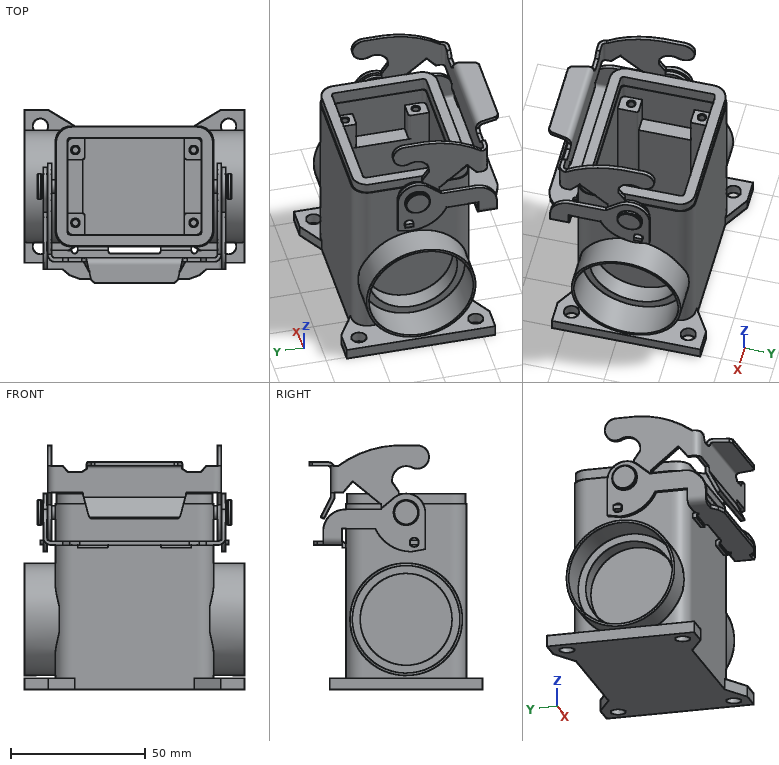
import cadquery as cq
import math

TOTAL_LENGTH = 82.0
TOTAL_HEIGHT = 91.0

BODY_HALF_X = 29.5
BODY_HALF_Y = 22.5
BODY_CORNER_R = 6.0
BODY_HEIGHT = 73.0
RIM_BOTTOM_Z = 69.2
RIM_STEP = 0.4

PLATE_HALF_X = TOTAL_LENGTH / 2
PLATE_HALF_Y = 28.5
PLATE_THICK = 4.3
EAR_OUTER_X = 32.1
EAR_INNER_X = 22.2
PLATE_HOLE_X = 35.0
PLATE_HOLE_Y = 22.4
PLATE_HOLE_R = 2.8

TUBE_Z = 26.2
TUBE_R = 20.9
TUBE_BORE_R = 20.0
ENTRY_R = 17.1
TUBE_INNER_X = 27.9
ENTRY_INNER_X = 20.9

CAVITY_HALF_X = 25.0
CAVITY_HALF_Y = 18.1
CAVITY_CORNER_R = 1.3
MOUTH_BOTTOM_Z = 67.9
MOUTH_STEP = 0.2
LOWER_CORNER_R = 1.6
FLOOR_Z = PLATE_THICK
LEFT_LEDGE_X = -19.3
LEDGE_TOP_Z = 50.3
POST_INNER_X = 18.6
POST_INNER_Y = 10.0
POST_TOP_Z = 61.7
POST_EDGE_R = 0.8
SCREW_X = 22.0
SCREW_Y = 13.6
SCREW_R = 1.3
SCREW_CHAMFER = 0.4
SCREW_DEPTH = 7.3

PIVOT_Z = 66.0
PIN_R = 2.55
PIN_NECK_R = 3.6
PIN_HEAD_R = 4.7
PIN_HEAD_INNER_X = 34.5
PIN_HEAD_OUTER_X = 36.2
PIN_HEAD_CHAMFER = 0.4

SHEET = 1.5
BAIL_OUTER_X = 32.3
LEVER_GAP = 0.2
BRACKET_INNER_X = BAIL_OUTER_X + LEVER_GAP
BRACKET_OUTER_X = BRACKET_INNER_X + SHEET
BEND_R = 2.8
DIAGONAL = math.sin(math.radians(45))

HOOK_R = 4.4
HOOK_Y = 4.2
HOOK_Z = TOTAL_HEIGHT - HOOK_R
NOTCH_R = 5.2
NOTCH_LIP = 0.7
BACK_FLAT_Y = -4.0
BACK_MID = (-14.7, 88.9)
LEG_FRONT_Y = -9.2
LEG_FRONT_TOP_Z = 68.9
LEG_FRONT_BOTTOM_Z = 64.6
LEG_REAR_Y = -2.7
LEG_REAR_Z = 73.8
CROOK = (-19.9, 77.5)
BAR_HEEL_Y = -23.5
LOBE_R = 6.3
LOBE_MID = (-5.0, 56.4)
LOBE_BOTTOM_Z = 54.0
LOBE_REAR_Z = 54.4
BAIL_FRONT_Y = -28.1
BAIL_BEND_Y = BAIL_FRONT_Y + BEND_R
BAR_BOTTOM_Z = 73.35
BAR_TOP_Z = 83.4
DIP_Z = 81.1
DIP_OUTER_X = 26.75
DIP_FLAT_OUTER_X = 24.7
DIP_FLAT_INNER_X = 19.7
DIP_RISE = 1.1

GRIP_TOP_Z = 84.8
GRIP_BEND_R = 2.55
GRIP_FRONT_Y = -36.0
GRIP_ROOT_HALF_X = 18.0
GRIP_TIP_HALF_X = 15.8
GRIP_CORNER = 1.1

FLAP_BEND_Z = 71.25
FLAP_BOTTOM_Z = 63.6
FLAP_ANGLE = 27.0
FLAP_ROOT_HALF_X = 19.4
FLAP_TIP_HALF_X = 16.7
FLAP_CORNER_R = 1.8

BOSS_R = 7.1
BOSS_SLOPE = 40.0
SLOPE_END_Y = -9.65
BRACKET_LOBE_START_Y = -11.5
BRACKET_LOBE_MID = (-6.6, 54.1)
BRACKET_LOBE_BOTTOM = (2.1, 51.4)
BRACKET_REAR_Z = 52.3
ARM_TOP_Z = 67.2
ARM_BOTTOM_Z = 60.0
ARM_REAR_Y = -23.8
ARM_FRONT_Y = -30.9
ARM_BEND_R = 8.2
ARM_BEND_Z = ARM_TOP_Z - ARM_BEND_R
SHELF_BOTTOM_Z = 53.9
SHELF_TOP_Z = SHELF_BOTTOM_Z + SHEET
SHELF_FRONT_Y = -34.5
LIP_ROOT_X = 26.75
LIP_CORNER = (24.1, -33.1)
LIP_FRONT_X = 20.5
SHELF_CUT_Y = -24.9
SHELF_CUT_R = 0.9
RELIEF_R = 1.1
FOOT_INNER_X = 9.7
FOOT_OUTER_X = 21.2
FOOT_BOTTOM_Z = 52.8
FOOT_SLOPE = 0.9
FOOT_CORNER_R = 0.9

LUG_Y = 3.0
LUG_Z = 54.9
LUG_WIDTH = 3.1
LUG_HEIGHT = 1.6
LUG_OUTER_X = 35.0
LUG_HOLE_R = 1.7


def box(x_range, y_range, z_range):
    """Axis-aligned box given by its limits."""
    (x0, x1), (y0, y1), (z0, z1) = x_range, y_range, z_range
    return cq.Workplane("XY").box(x1 - x0, y1 - y0, z1 - z0, centered=False).translate((x0, y0, z0))


def rounded_block(half_x, half_y, radius, z0, z1):
    """Upright block with rounded vertical edges, centred on Z."""
    block = box((-half_x, half_x), (-half_y, half_y), (z0, z1))
    return block.edges("|Z").fillet(radius)


def rod_x(radius, x0, x1, y, z):
    """Cylinder along X."""
    return cq.Workplane("YZ", origin=(x0, 0, 0)).center(y, z).circle(radius).extrude(x1 - x0)


def both_sides(shape):
    """The +X shape joined with its mirror image at -X."""
    return shape.union(shape.mirror("YZ"))


def mounting_plate():
    quarter = [
        (0, 0), (PLATE_HALF_X, 0), (PLATE_HALF_X, PLATE_HALF_Y), (EAR_OUTER_X, PLATE_HALF_Y),
        (EAR_INNER_X, BODY_HALF_Y), (0, BODY_HALF_Y),
    ]
    half = cq.Workplane("XY").polyline(quarter).close().extrude(PLATE_THICK)
    half = half.union(half.mirror("XZ"))
    plate = both_sides(half)
    holes = (
        cq.Workplane("XY")
        .rect(2 * PLATE_HOLE_X, 2 * PLATE_HOLE_Y, forConstruction=True)
        .vertices()
        .circle(PLATE_HOLE_R)
        .extrude(PLATE_THICK)
    )
    return plate.cut(holes)


def cavity():
    """Hollow of the body: ledges along both X ends and a screw post in each corner stay solid."""
    mouth = rounded_block(CAVITY_HALF_X, CAVITY_HALF_Y, CAVITY_CORNER_R, MOUTH_BOTTOM_Z, BODY_HEIGHT)
    lower = rounded_block(
        CAVITY_HALF_X - MOUTH_STEP, CAVITY_HALF_Y - MOUTH_STEP, LOWER_CORNER_R, FLOOR_Z, MOUTH_BOTTOM_Z
    )
    ledge_y = (-BODY_HALF_Y, BODY_HALF_Y)
    left_ledge = box((-BODY_HALF_X, LEFT_LEDGE_X), ledge_y, (0, LEDGE_TOP_Z))
    right_ledge = box((POST_INNER_X, BODY_HALF_X), ledge_y, (0, LEDGE_TOP_Z))
    post = box((POST_INNER_X, BODY_HALF_X), (POST_INNER_Y, BODY_HALF_Y), (0, POST_TOP_Z))
    post = post.edges("|Z and <X and <Y").fillet(POST_EDGE_R)
    posts = both_sides(post.union(post.mirror("XZ")))
    return mouth.union(lower).cut(left_ledge).cut(right_ledge).cut(posts)


def screw_holes():
    hole_plane = cq.Workplane("XY", origin=(0, 0, POST_TOP_Z))
    corners = hole_plane.rect(2 * SCREW_X, 2 * SCREW_Y, forConstruction=True).vertices()
    holes = corners.circle(SCREW_R).extrude(-SCREW_DEPTH)
    sink = cq.Solid.makeCone(
        SCREW_R + SCREW_CHAMFER, SCREW_R, SCREW_CHAMFER, cq.Vector(0, 0, POST_TOP_Z), cq.Vector(0, 0, -1)
    )
    for x in (-SCREW_X, SCREW_X):
        for y in (-SCREW_Y, SCREW_Y):
            holes = holes.union(cq.Workplane(sink.translate(cq.Vector(x, y, 0))))
    return holes


def housing():
    body = rounded_block(BODY_HALF_X, BODY_HALF_Y, BODY_CORNER_R, 0, RIM_BOTTOM_Z)
    rim = rounded_block(
        BODY_HALF_X - RIM_STEP, BODY_HALF_Y - RIM_STEP, BODY_CORNER_R - RIM_STEP, RIM_BOTTOM_Z, BODY_HEIGHT
    )
    tube = rod_x(TUBE_R, TUBE_INNER_X, PLATE_HALF_X, 0, TUBE_Z)
    bore = rod_x(TUBE_BORE_R, TUBE_INNER_X, PLATE_HALF_X, 0, TUBE_Z)
    entry = rod_x(ENTRY_R, ENTRY_INNER_X, PLATE_HALF_X, 0, TUBE_Z)
    shell = body.union(rim).union(mounting_plate()).union(both_sides(tube))
    return shell.cut(cavity()).cut(both_sides(bore.union(entry))).cut(screw_holes())


def pivot_pin():
    shaft = rod_x(PIN_R, CAVITY_HALF_X, BRACKET_OUTER_X, 0, PIVOT_Z)
    neck = rod_x(PIN_NECK_R, BRACKET_OUTER_X, PIN_HEAD_INNER_X, 0, PIVOT_Z)
    head = rod_x(PIN_HEAD_R, PIN_HEAD_INNER_X, PIN_HEAD_OUTER_X, 0, PIVOT_Z)
    head = head.edges("%CIRCLE").chamfer(PIN_HEAD_CHAMFER)
    return shaft.union(neck).union(head)


def bail_side():
    """Flat side of the bail: hook, curved back, bar corner, leg and hidden pivot lobe."""
    reach = HOOK_R + NOTCH_R
    notch_z = HOOK_Z - math.sqrt(reach**2 - HOOK_Y**2)
    tangent = (HOOK_Y * NOTCH_R / reach, notch_z + (HOOK_Z - notch_z) * NOTCH_R / reach)
    notch_mid = (-NOTCH_R * DIAGONAL, notch_z + NOTCH_R * DIAGONAL)
    lobe_mid = (LOBE_R * DIAGONAL, PIVOT_Z + LOBE_R * DIAGONAL)
    lobe_end_z = PIVOT_Z + math.sqrt(LOBE_R**2 - LEG_REAR_Y**2)
    return (
        cq.Workplane("YZ", origin=(BAIL_OUTER_X - SHEET, 0, 0))
        .moveTo(HOOK_Y, HOOK_Z + HOOK_R)
        .lineTo(BACK_FLAT_Y, HOOK_Z + HOOK_R)
        .threePointArc(BACK_MID, (BAIL_BEND_Y, BAR_TOP_Z))
        .lineTo(BAIL_BEND_Y, BAR_BOTTOM_Z)
        .lineTo(BAR_HEEL_Y, BAR_BOTTOM_Z)
        .lineTo(*CROOK)
        .lineTo(LEG_FRONT_Y, LEG_FRONT_TOP_Z)
        .lineTo(LEG_FRONT_Y, LEG_FRONT_BOTTOM_Z)
        .threePointArc(LOBE_MID, (LUG_Y, LOBE_BOTTOM_Z))
        .lineTo(LOBE_R, LOBE_REAR_Z)
        .lineTo(LOBE_R, PIVOT_Z)
        .threePointArc(lobe_mid, (LEG_REAR_Y, lobe_end_z))
        .lineTo(LEG_REAR_Y, LEG_REAR_Z)
        .lineTo(-NOTCH_R, notch_z - NOTCH_LIP)
        .lineTo(-NOTCH_R, notch_z)
        .threePointArc(notch_mid, tangent)
        .threePointArc((HOOK_Y + HOOK_R, HOOK_Z), (HOOK_Y, HOOK_Z + HOOK_R))
        .close()
        .extrude(SHEET)
    )


def bail_bar():
    """Front bar of the bail with bent corners and a dip in its top edge on both sides."""
    outer = box((-BAIL_OUTER_X, BAIL_OUTER_X), (BAIL_FRONT_Y, 0), (BAR_BOTTOM_Z, BAR_TOP_Z))
    outer = outer.edges("|Z and <Y").fillet(BEND_R)
    inner_x = BAIL_OUTER_X - SHEET
    inner = box((-inner_x, inner_x), (BAIL_FRONT_Y + SHEET, 0), (BAR_BOTTOM_Z, BAR_TOP_Z))
    inner = inner.edges("|Z and <Y").fillet(BEND_R - SHEET)
    front_half = box(
        (-BAIL_OUTER_X, BAIL_OUTER_X), (BAIL_FRONT_Y, BAIL_BEND_Y), (BAR_BOTTOM_Z, BAR_TOP_Z)
    )
    dip = (
        cq.Workplane("XZ")
        .polyline([
            (DIP_OUTER_X, BAR_TOP_Z), (DIP_FLAT_OUTER_X, DIP_Z), (DIP_FLAT_INNER_X, DIP_Z),
            (GRIP_ROOT_HALF_X, DIP_Z + DIP_RISE), (GRIP_ROOT_HALF_X, BAR_TOP_Z),
        ])
        .close()
        .extrude(-BAIL_FRONT_Y)
    )
    above_grip_bend = box(
        (-GRIP_ROOT_HALF_X, GRIP_ROOT_HALF_X), (BAIL_FRONT_Y, 0), (GRIP_TOP_Z - GRIP_BEND_R, BAR_TOP_Z)
    )
    return outer.cut(inner).intersect(front_half).cut(both_sides(dip)).cut(above_grip_bend)


def grip_tab():
    rear_y = BAIL_FRONT_Y + SHEET
    bend_y = rear_y - GRIP_BEND_R
    bend_z = GRIP_TOP_Z - GRIP_BEND_R
    inner_r = GRIP_BEND_R - SHEET
    bend_mid = (bend_y + GRIP_BEND_R * DIAGONAL, bend_z + GRIP_BEND_R * DIAGONAL)
    inner_mid = (bend_y + inner_r * DIAGONAL, bend_z + inner_r * DIAGONAL)
    folded = (
        cq.Workplane("YZ", origin=(-GRIP_ROOT_HALF_X, 0, 0))
        .moveTo(rear_y, bend_z)
        .threePointArc(bend_mid, (bend_y, GRIP_TOP_Z))
        .lineTo(GRIP_FRONT_Y, GRIP_TOP_Z)
        .lineTo(GRIP_FRONT_Y, GRIP_TOP_Z - SHEET)
        .lineTo(bend_y, GRIP_TOP_Z - SHEET)
        .threePointArc(inner_mid, (BAIL_FRONT_Y, bend_z))
        .close()
        .extrude(2 * GRIP_ROOT_HALF_X)
    )
    outline = (
        cq.Workplane("XY", origin=(0, 0, bend_z))
        .polyline([
            (-GRIP_ROOT_HALF_X, rear_y), (GRIP_ROOT_HALF_X, rear_y),
            (GRIP_TIP_HALF_X, GRIP_FRONT_Y), (-GRIP_TIP_HALF_X, GRIP_FRONT_Y),
        ])
        .close()
        .extrude(GRIP_BEND_R)
        .edges("|Z and <Y")
        .chamfer(GRIP_CORNER)
    )
    return folded.intersect(outline)


def flap():
    angle = math.radians(FLAP_ANGLE)
    rear_y = BAIL_FRONT_Y + SHEET
    rear_tip = (rear_y - (FLAP_BEND_Z - FLAP_BOTTOM_Z) * math.tan(angle), FLAP_BOTTOM_Z)
    front_tip = (rear_tip[0] - SHEET * math.cos(angle), rear_tip[1] + SHEET * math.sin(angle))
    front_bend_z = FLAP_BEND_Z + SHEET * math.tan(angle / 2)
    folded = (
        cq.Workplane("YZ", origin=(-FLAP_ROOT_HALF_X, 0, 0))
        .polyline([
            (rear_y, BAR_BOTTOM_Z), (rear_y, FLAP_BEND_Z), rear_tip, front_tip,
            (BAIL_FRONT_Y, front_bend_z), (BAIL_FRONT_Y, BAR_BOTTOM_Z),
        ])
        .close()
        .extrude(2 * FLAP_ROOT_HALF_X)
    )
    outline = (
        cq.Workplane("XZ")
        .polyline([
            (-FLAP_ROOT_HALF_X, BAR_BOTTOM_Z), (FLAP_ROOT_HALF_X, BAR_BOTTOM_Z),
            (FLAP_TIP_HALF_X, FLAP_BOTTOM_Z), (-FLAP_TIP_HALF_X, FLAP_BOTTOM_Z),
        ])
        .close()
        .extrude(-GRIP_FRONT_Y)
        .edges("|Y and <Z")
        .fillet(FLAP_CORNER_R)
    )
    return folded.intersect(outline)


def stop_lug():
    return box(
        (BAIL_OUTER_X - SHEET, LUG_OUTER_X),
        (LUG_Y - LUG_WIDTH / 2, LUG_Y + LUG_WIDTH / 2),
        (LUG_Z - LUG_HEIGHT / 2, LUG_Z + LUG_HEIGHT / 2),
    )


def bracket_side():
    """Flat side of the bracket: pivot boss with a lower lobe, and the arm that turns down."""
    boss_mid = (BOSS_R * DIAGONAL, PIVOT_Z + BOSS_R * DIAGONAL)
    slope = math.radians(BOSS_SLOPE)
    slope_start = (-BOSS_R * math.sin(slope), PIVOT_Z + BOSS_R * math.cos(slope))
    arm_y = ARM_FRONT_Y + ARM_BEND_R
    arm_mid = (arm_y - ARM_BEND_R * DIAGONAL, ARM_BEND_Z + ARM_BEND_R * DIAGONAL)
    side = (
        cq.Workplane("YZ", origin=(BRACKET_INNER_X, 0, 0))
        .moveTo(BOSS_R, PIVOT_Z)
        .threePointArc(boss_mid, slope_start)
        .lineTo(SLOPE_END_Y, ARM_TOP_Z)
        .lineTo(arm_y, ARM_TOP_Z)
        .threePointArc(arm_mid, (ARM_FRONT_Y, ARM_BEND_Z))
        .lineTo(ARM_FRONT_Y, SHELF_BOTTOM_Z + BEND_R)
        .lineTo(ARM_REAR_Y, SHELF_BOTTOM_Z + BEND_R)
        .lineTo(ARM_REAR_Y, ARM_BOTTOM_Z)
        .lineTo(BRACKET_LOBE_START_Y, ARM_BOTTOM_Z)
        .threePointArc(BRACKET_LOBE_MID, BRACKET_LOBE_BOTTOM)
        .lineTo(BOSS_R, BRACKET_REAR_Z)
        .close()
        .extrude(SHEET)
    )
    return side.cut(rod_x(LUG_HOLE_R, BRACKET_INNER_X, BRACKET_OUTER_X, LUG_Y, LUG_Z))


def bracket_shelf():
    """Level strip joining both bracket arms, with bent ends and a widened front."""
    arm_y = (ARM_FRONT_Y, ARM_REAR_Y)
    channel = box((-BRACKET_OUTER_X, BRACKET_OUTER_X), arm_y, (SHELF_BOTTOM_Z, ARM_BEND_Z))
    channel = channel.edges("|Y and <Z").fillet(BEND_R)
    inside = box((-BRACKET_INNER_X, BRACKET_INNER_X), arm_y, (SHELF_TOP_Z, ARM_BEND_Z))
    inside = inside.edges("|Y and <Z").fillet(BEND_R - SHEET)
    lip = (
        cq.Workplane("XY", origin=(0, 0, SHELF_BOTTOM_Z))
        .polyline([
            (0, ARM_FRONT_Y), (LIP_ROOT_X, ARM_FRONT_Y), LIP_CORNER,
            (LIP_FRONT_X, SHELF_FRONT_Y), (0, SHELF_FRONT_Y),
        ])
        .close()
        .extrude(SHEET)
    )
    rear_cut = box((-FOOT_INNER_X, FOOT_INNER_X), (SHELF_CUT_Y, ARM_REAR_Y), (SHELF_BOTTOM_Z, SHELF_TOP_Z))
    rear_cut = rear_cut.edges("|Z and <Y").fillet(SHELF_CUT_R)
    relief_x = FOOT_OUTER_X + RELIEF_R
    relief_plane = cq.Workplane("XY", origin=(relief_x, ARM_REAR_Y, SHELF_BOTTOM_Z))
    relief = relief_plane.circle(RELIEF_R).extrude(SHEET)
    return channel.cut(inside).union(both_sides(lip)).cut(rear_cut).cut(both_sides(relief))


def bracket_foot():
    """Short tongue at the rear of the shelf, folded down against the housing."""
    section = [
        (ARM_REAR_Y, SHELF_TOP_Z), (-BODY_HALF_Y, SHELF_TOP_Z - FOOT_SLOPE),
        (-BODY_HALF_Y, FOOT_BOTTOM_Z), (ARM_REAR_Y, FOOT_BOTTOM_Z),
    ]
    foot = cq.Workplane("YZ", origin=(FOOT_INNER_X, 0, 0)).polyline(section).close()
    foot = foot.extrude(FOOT_OUTER_X - FOOT_INNER_X)
    return foot.edges("|Y and <X and <Z").fillet(FOOT_CORNER_R)


one_end = pivot_pin().union(bail_side()).union(bracket_side()).union(stop_lug()).union(bracket_foot())
result = housing()
for piece in (both_sides(one_end), bail_bar(), grip_tab(), flap(), bracket_shelf()):
    result = result.union(piece)